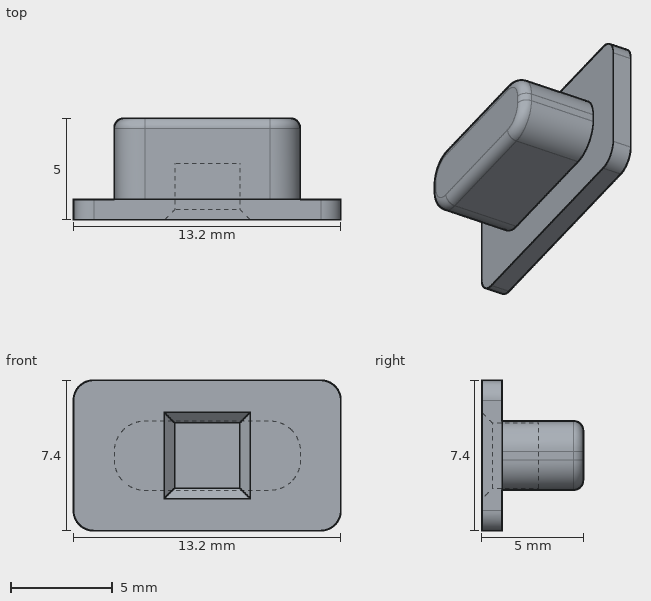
import cadquery as cq

plate_width = 13.15
plate_height = 7.4
plate_thickness = 1.0
plate_corner_radius = 1.0

total_depth = 5.0
plug_width = 9.15
plug_height = 3.4
plug_corner_radius = 1.5
plug_end_fillet = 0.5

pocket_side = 3.21
lead_in = 0.51
pocket_depth = 2.77


def rounded_block(width, height, depth, corner_radius):
    """Block from Y = 0 to Y = depth, with its four Y edges rounded."""
    block = cq.Workplane("XY").box(width, depth, height, centered=(True, False, True))
    return block.edges("|Y").fillet(corner_radius)


plate = rounded_block(plate_width, plate_height, plate_thickness, plate_corner_radius)

plug = rounded_block(plug_width, plug_height, total_depth, plug_corner_radius)
plug = plug.faces(">Y").edges().fillet(plug_end_fillet)

pocket = cq.Workplane("XY").box(
    pocket_side, pocket_depth, pocket_side, centered=(True, False, True)
)

mouth_side = pocket_side + 2 * lead_in
mouth = (
    cq.Workplane("XZ")
    .rect(mouth_side, mouth_side)
    .workplane(offset=-lead_in)
    .rect(pocket_side, pocket_side)
    .loft(ruled=True)
)

result = plate.union(plug).cut(pocket).cut(mouth)